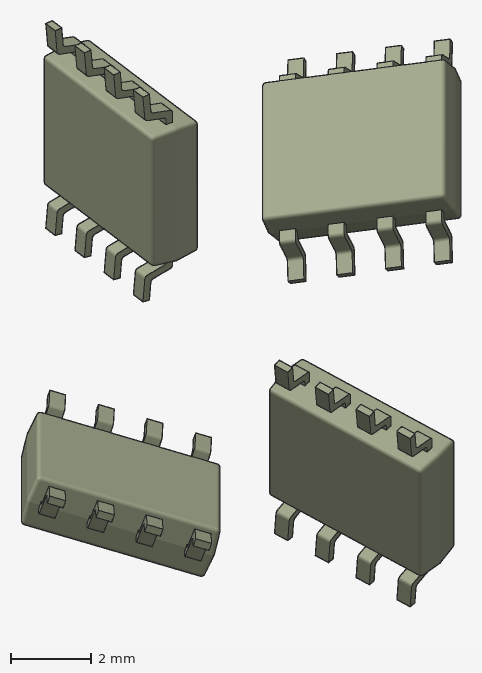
import cadquery as cq
import math

body_length = 4.9
body_height = 3.9
body_thickness = 1.4
body_draft = 5.0
body_edge_radius = 0.1

leads_per_side = 4
lead_pitch = 1.27
lead_width = 0.415
lead_thickness = 0.2
lead_bend_radius = 0.1
lead_embed = 0.18
lead_span = 6.03
lead_straight = 0.27
arm_slope = 12.0
foot_tilt = 5.0
foot_standoff = 0.1

tolerance = 0.0005


def make_half_body(side):
    """One tapered half of the body, on the +Y (side = 1) or -Y (side = -1) side."""
    plane = cq.Plane(origin=(0, 0, 0), xDir=(1, 0, 0), normal=(0, side, 0))
    return (
        cq.Workplane(plane)
        .rect(body_length, body_height)
        .extrude(body_thickness / 2, taper=body_draft)
    )


def make_body():
    """Both halves joined, with every edge rounded except the mid-plane parting line."""
    body = make_half_body(1).union(make_half_body(-1))
    edges = [edge for edge in body.edges().vals() if abs(edge.Center().y) > tolerance]
    return body.newObject(edges).fillet(body_edge_radius)


def make_lead():
    """One upper lead centred on X = 0: up from the body, out towards -Y, then up along the foot."""
    half = lead_thickness / 2
    slope = math.radians(arm_slope)
    tilt = math.radians(foot_tilt)

    first_mitre = half * math.tan((math.pi / 2 - slope) / 2)
    second_mitre = half * math.tan((math.pi / 2 - slope - tilt) / 2)

    root_z = body_height / 2 - lead_embed
    bend_1_z = body_height / 2 + lead_straight
    tip_y = -body_thickness / 2 - foot_standoff + half * math.cos(tilt)
    tip_z = lead_span / 2 - half * math.sin(tilt)
    bend_2_y = (tip_y + (tip_z - bend_1_z) * math.tan(tilt)) / (1 - math.tan(slope) * math.tan(tilt))
    bend_2_z = bend_1_z - bend_2_y * math.tan(slope)

    foot_dy = -math.sin(tilt)
    foot_dz = math.cos(tilt)

    def foot_point(y, z, along, across):
        return (y + along * foot_dy + across * foot_dz, z + along * foot_dz - across * foot_dy)

    outline = [
        (half, root_z),
        (half, bend_1_z + first_mitre),
        foot_point(bend_2_y, bend_2_z, second_mitre, half),
        foot_point(tip_y, tip_z, 0, half),
        foot_point(tip_y, tip_z, 0, -half),
        foot_point(bend_2_y, bend_2_z, -second_mitre, -half),
        (-half, bend_1_z - first_mitre),
        (-half, root_z),
    ]

    lead = cq.Workplane("YZ").polyline(outline).close().extrude(lead_width / 2, both=True)
    bend_edges = [
        edge for edge in lead.edges("|X").vals()
        if root_z + tolerance < edge.Center().z < bend_2_z + lead_thickness
    ]
    return lead.newObject(bend_edges).fillet(lead_bend_radius)


def make_part():
    """Body with a row of leads on its top edge and a mirrored row on its bottom edge."""
    part = make_body()
    upper_lead = make_lead()
    lower_lead = upper_lead.mirror("XY")
    for index in range(leads_per_side):
        x = (index - (leads_per_side - 1) / 2) * lead_pitch
        part = part.union(upper_lead.translate((x, 0, 0)))
        part = part.union(lower_lead.translate((x, 0, 0)))
    return part


result = make_part()